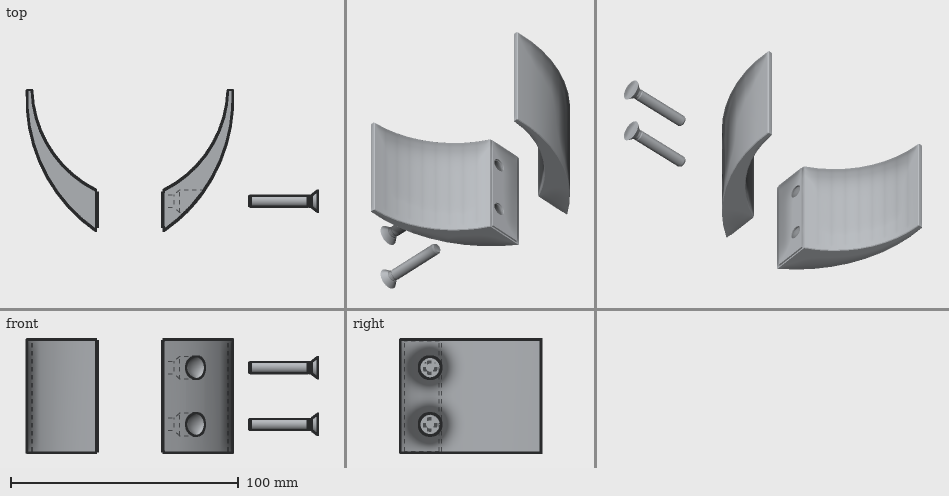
import cadquery as cq

JAW_HEIGHT = 50.0
JAW_REACH = 45.3
TIP_THICKNESS = 2.4
OUTER_RADIUS = 70.7
INNER_RADIUS = 50.5
OUTER_EDGE_Y = -62.0
INNER_EDGE_Y = -43.8
TIP_CHAMFER = 0.4
RIM_CHAMFER = 0.32

PLATE_X = 14.0
PLATE_THICKNESS = 0.8
PLATE_TOP_INSET = 0.8
PLATE_INNER_INSET = 1.2
PLATE_OUTER_INSET = 1.9
PLATE_HOLE_DIAMETER = 6.0

SCREW_Y = -48.8
SCREW_SPACING = 24.9
SCREW_TIP_X = 52.3
SCREW_LENGTH = 30.2
SHANK_DIAMETER = 5.0
POINT_DIAMETER = 4.1
POINT_LENGTH = 0.8
NECK_DIAMETER = 4.5
NECK_LENGTH = 0.8
SHOULDER_TAPER = 0.4
COLLAR_LENGTH = 0.8
HEAD_BASE_DIAMETER = 5.5
HEAD_DIAMETER = 9.5
HEAD_LENGTH = 2.5

HOLE_DIAMETER = 5.5
COUNTERBORE_DIAMETER = 10.0
SEAT_DEPTH = 4.5

jaw_face_x = PLATE_X + PLATE_THICKNESS
screw_heights = [-SCREW_SPACING / 2, SCREW_SPACING / 2]


def revolved_about_x(points, start_x, z):
    """Revolve a list of (distance along X, radius) points about the screw axis at height z."""
    outline = [(0, 0), *points, (points[-1][0], 0)]
    profile = cq.Workplane("XY").polyline(outline).close()
    turned = profile.revolve(360, (0, 0, 0), (1, 0, 0))
    return turned.translate((start_x, SCREW_Y, z))


def make_jaw():
    """Curved jaw on the +X side, thin at its tip and thick at its flat end face."""
    body = (
        cq.Workplane("XY")
        .workplane(offset=-JAW_HEIGHT / 2)
        .moveTo(JAW_REACH, 0)
        .radiusArc((jaw_face_x, OUTER_EDGE_Y), OUTER_RADIUS)
        .lineTo(jaw_face_x, INNER_EDGE_Y)
        .radiusArc((JAW_REACH - TIP_THICKNESS, 0), -INNER_RADIUS)
        .close()
        .extrude(JAW_HEIGHT)
    )
    tip_chamfered = body.faces(">Y").edges("|Z").chamfer(TIP_CHAMFER)
    return tip_chamfered.faces("|Z").edges("%CIRCLE").chamfer(RIM_CHAMFER)


def make_plate():
    """Thin rectangular plate on the flat end face of the +X jaw, with two screw holes."""
    inner_y = INNER_EDGE_Y - PLATE_INNER_INSET
    outer_y = OUTER_EDGE_Y + PLATE_OUTER_INSET
    plate = (
        cq.Workplane("XY")
        .box(PLATE_THICKNESS, inner_y - outer_y, JAW_HEIGHT - 2 * PLATE_TOP_INSET)
        .translate((PLATE_X + PLATE_THICKNESS / 2, (inner_y + outer_y) / 2, 0))
    )
    hole_radius = PLATE_HOLE_DIAMETER / 2
    for z in screw_heights:
        hole = revolved_about_x([(0, hole_radius), (PLATE_THICKNESS, hole_radius)], PLATE_X, z)
        plate = plate.cut(hole)
    return plate


def make_screw_hole(z):
    """Cutter for one hole in the jaw: clearance bore, conical seat and counterbore."""
    seat_end = SEAT_DEPTH + HEAD_LENGTH
    points = [
        (0, HOLE_DIAMETER / 2),
        (SEAT_DEPTH, HOLE_DIAMETER / 2),
        (seat_end, COUNTERBORE_DIAMETER / 2),
        (JAW_REACH - jaw_face_x, COUNTERBORE_DIAMETER / 2),
    ]
    return revolved_about_x(points, jaw_face_x, z)


def make_screw(z):
    """Countersunk screw along X with its head toward +X."""
    head_start = SCREW_LENGTH - HEAD_LENGTH
    collar_start = head_start - COLLAR_LENGTH
    neck_start = collar_start - NECK_LENGTH
    points = [
        (0, POINT_DIAMETER / 2),
        (POINT_LENGTH, SHANK_DIAMETER / 2),
        (neck_start - SHOULDER_TAPER, SHANK_DIAMETER / 2),
        (neck_start, NECK_DIAMETER / 2),
        (collar_start, NECK_DIAMETER / 2),
        (collar_start, SHANK_DIAMETER / 2),
        (head_start, SHANK_DIAMETER / 2),
        (head_start, HEAD_BASE_DIAMETER / 2),
        (SCREW_LENGTH, HEAD_DIAMETER / 2),
    ]
    return revolved_about_x(points, SCREW_TIP_X, z)


plain_jaw = make_jaw().mirror("YZ")

drilled_jaw = make_jaw()
for height in screw_heights:
    drilled_jaw = drilled_jaw.cut(make_screw_hole(height))

plates = [make_plate(), make_plate().mirror("YZ")]

screws = [make_screw(height) for height in screw_heights]

result = cq.Compound.makeCompound(
    [
        plain_jaw.val(),
        drilled_jaw.val(),
        *[plate.val() for plate in plates],
        *[screw.val() for screw in screws],
    ]
)